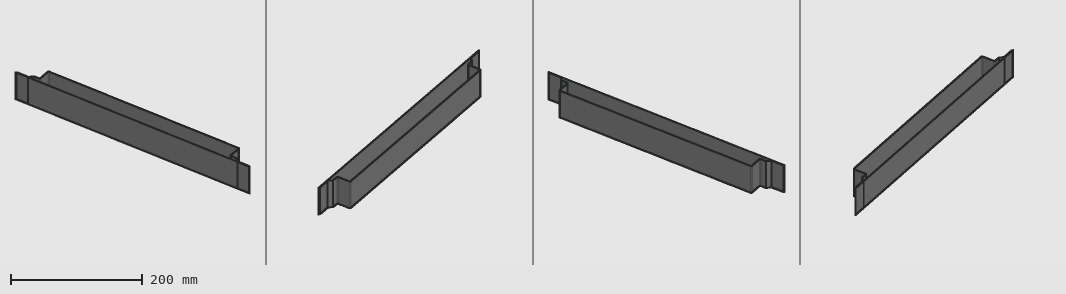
import cadquery as cq

LENGTH = 432.0
DEPTH = 31.0
HEIGHT = 50.0

PLATE_THICKNESS = 0.78

SHEET = 1.0
BEND_INNER_RADIUS = 1.0
BEND_OUTER_RADIUS = BEND_INNER_RADIUS + SHEET
CHANNEL_WIDTH = 352.5
FLANGE_INSET = 1.7
FLANGE_WIDTH = 21.0
STEP_RISE = 6.0
STEP_RUN = 6.0

FLANGE_END = LENGTH / 2 - FLANGE_INSET
STEP_START = FLANGE_END - FLANGE_WIDTH
STEP_END = STEP_START - STEP_RUN
WALL_OUTER = CHANNEL_WIDTH / 2
WALL_INNER = WALL_OUTER - SHEET


def make_plate():
    """Thin rectangular plate with its front face on Y = 0."""
    return cq.Workplane("XY").box(LENGTH, PLATE_THICKNESS, HEIGHT, centered=(True, False, True))


def round_corners(body, corners, radius):
    """Fillet the upright edges at the given (x, y) corners and their mirror images."""
    for x, y in corners:
        for side in (-1, 1):
            nearest = cq.selectors.NearestToPointSelector((side * x, y, 0))
            body = body.edges("|Z").edges(nearest).fillet(radius)
    return body


def make_bracket():
    """Hat-shaped sheet: a channel with a stepped flange on each side."""
    flange_front = PLATE_THICKNESS
    flange_back = flange_front + SHEET
    ledge_front = flange_front + STEP_RISE
    ledge_back = ledge_front + SHEET
    right_half = [
        (WALL_INNER, DEPTH - SHEET),
        (WALL_INNER, ledge_front),
        (STEP_END, ledge_front),
        (STEP_START, flange_front),
        (FLANGE_END, flange_front),
        (FLANGE_END, flange_back),
        (STEP_START, flange_back),
        (STEP_END, ledge_back),
        (WALL_OUTER, ledge_back),
        (WALL_OUTER, DEPTH),
    ]
    left_half = [(-x, y) for x, y in reversed(right_half)]
    bracket = (
        cq.Workplane("XY")
        .workplane(offset=-HEIGHT / 2)
        .polyline(right_half + left_half)
        .close()
        .extrude(HEIGHT)
    )
    inner_corners = [(WALL_INNER, DEPTH - SHEET), (WALL_OUTER, ledge_back)]
    outer_corners = [(WALL_OUTER, DEPTH), (WALL_INNER, ledge_front)]
    bracket = round_corners(bracket, inner_corners, BEND_INNER_RADIUS)
    return round_corners(bracket, outer_corners, BEND_OUTER_RADIUS)


plate = make_plate()
bracket = make_bracket()
result = cq.Compound.makeCompound([plate.val(), bracket.val()])